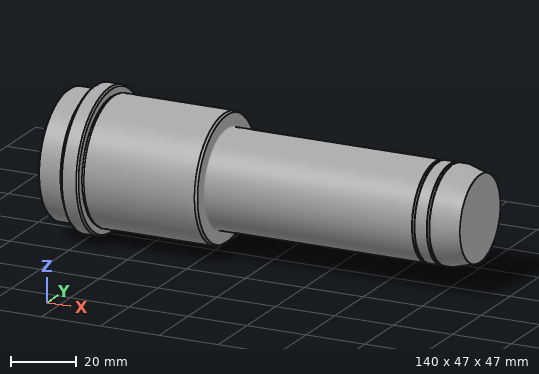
import cadquery as cq
import math

length = 140.0
head_radius = 42.0 / 2
collar_radius = 47.0 / 2
shank_radius = 32.0 / 2

collar_start = 9.0
collar_end = 14.8
front_relief_start = 7.7
rear_relief_end = 15.7
relief_depth = 0.4
edge_chamfer = 0.5

head_end = 54.0
lead_start = 49.0
lead_drop = 0.07
head_end_chamfer = 0.8
head_end_chamfer_drop = 0.4
root_fillet = 0.4

groove_starts = (124.6, 129.6)
groove_width = 0.8
groove_depth = 0.3
taper_start = 133.0
taper_angle = 15.0

relief_radius = head_radius - relief_depth
lead_radius = head_radius - lead_drop
tip_radius = shank_radius - (length - taper_start) * math.tan(math.radians(taper_angle))


def make_body():
    """Revolve the half outline, given as (X, radius), about the X axis."""
    arc_offset = root_fillet * (1 - math.sqrt(0.5))
    outline = (
        cq.Workplane("XY")
        .moveTo(0, 0)
        .lineTo(0, head_radius - edge_chamfer)
        .lineTo(edge_chamfer, head_radius)
        .lineTo(front_relief_start, head_radius)
        .lineTo(collar_start, relief_radius)
        .lineTo(collar_start, collar_radius - edge_chamfer)
        .lineTo(collar_start + edge_chamfer, collar_radius)
        .lineTo(collar_end - edge_chamfer, collar_radius)
        .lineTo(collar_end, collar_radius - edge_chamfer)
        .lineTo(collar_end, relief_radius)
        .lineTo(rear_relief_end, head_radius)
        .lineTo(lead_start, head_radius)
        .lineTo(head_end - head_end_chamfer, lead_radius)
        .lineTo(head_end, lead_radius - head_end_chamfer_drop)
        .lineTo(head_end, shank_radius + root_fillet)
        .threePointArc(
            (head_end + arc_offset, shank_radius + arc_offset),
            (head_end + root_fillet, shank_radius),
        )
        .lineTo(taper_start, shank_radius)
        .lineTo(length, tip_radius)
        .lineTo(length, 0)
        .close()
    )
    return outline.revolve(360, (0, 0, 0), (1, 0, 0))


def make_groove(start):
    """Ring that cuts one shallow square groove into the shank."""
    return (
        cq.Workplane("YZ", origin=(start, 0, 0))
        .circle(collar_radius)
        .circle(shank_radius - groove_depth)
        .extrude(groove_width)
    )


result = make_body()
for groove_start in groove_starts:
    result = result.cut(make_groove(groove_start))